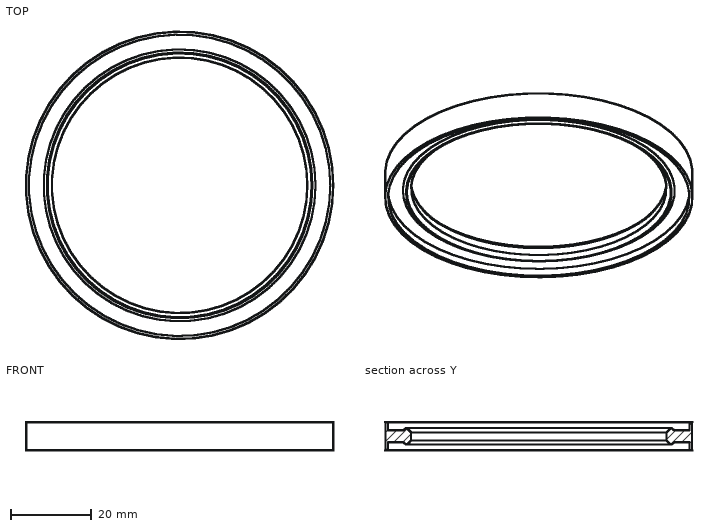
import cadquery as cq

outer_radius = 38.25
height = 7.0
rim_width = 0.8
recess_depth = 2.0

bore_radius = 31.75
bore_height = 2.0
lip_inner_radius = 32.8
lip_outer_radius = 33.05
lip_base_radius = 33.8
lip_height = 0.5

half_height = height / 2
rim_inner_radius = outer_radius - rim_width
floor_level = half_height - recess_depth
lip_level = floor_level + lip_height

upper_points = [
    (bore_radius, bore_height / 2),
    (lip_inner_radius, lip_level),
    (lip_outer_radius, lip_level),
    (lip_base_radius, floor_level),
    (rim_inner_radius, floor_level),
    (rim_inner_radius, half_height),
    (outer_radius, half_height),
]
lower_points = [(radius, -level) for radius, level in reversed(upper_points)]

result = (
    cq.Workplane("XZ")
    .polyline(upper_points + lower_points)
    .close()
    .revolve(360, (0, 0, 0), (0, 1, 0))
)